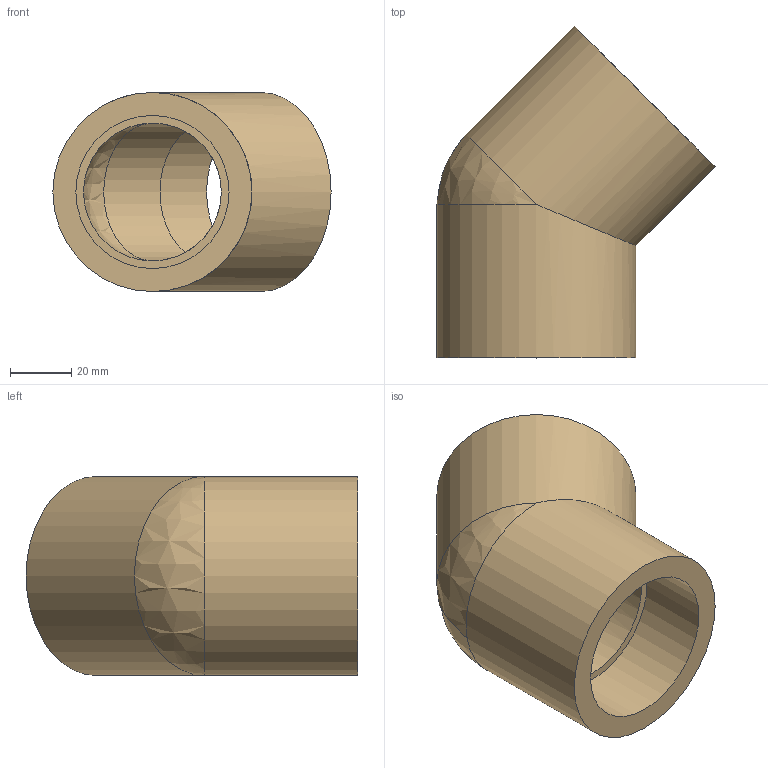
import cadquery as cq
import math

BEND_ANGLE = 45.0
LEG_LENGTH = 50.0
OUTER_DIAMETER = 65.0
BORE_DIAMETER = 45.0
SOCKET_DIAMETER = 50.0
SOCKET_DEPTH = 24.0

INLET_DIRECTION = cq.Vector(0, -1, 0)
OUTLET_DIRECTION = cq.Vector(
    math.sin(math.radians(BEND_ANGLE)),
    math.cos(math.radians(BEND_ANGLE)),
    0,
)
LEG_DIRECTIONS = (INLET_DIRECTION, OUTLET_DIRECTION)


def leg_cylinder(direction, diameter, start, length):
    """Cylinder along a leg axis, starting at a distance from the bend centre."""
    return cq.Workplane(cq.Solid.makeCylinder(diameter / 2, length, direction * start, direction))


def bent_rod(diameter):
    """Two cylinders meeting at the bend centre, with a ball rounding the outside of the bend."""
    rod = cq.Workplane("XY").sphere(diameter / 2)
    for direction in LEG_DIRECTIONS:
        rod = rod.union(leg_cylinder(direction, diameter, 0, LEG_LENGTH))
    return rod


def cut_sockets(body):
    """Widen the bore at both ends, leaving a stop shoulder for the pipe."""
    for direction in LEG_DIRECTIONS:
        socket = leg_cylinder(direction, SOCKET_DIAMETER, LEG_LENGTH - SOCKET_DEPTH, SOCKET_DEPTH)
        body = body.cut(socket)
    return body


result = cut_sockets(bent_rod(OUTER_DIAMETER).cut(bent_rod(BORE_DIAMETER)))